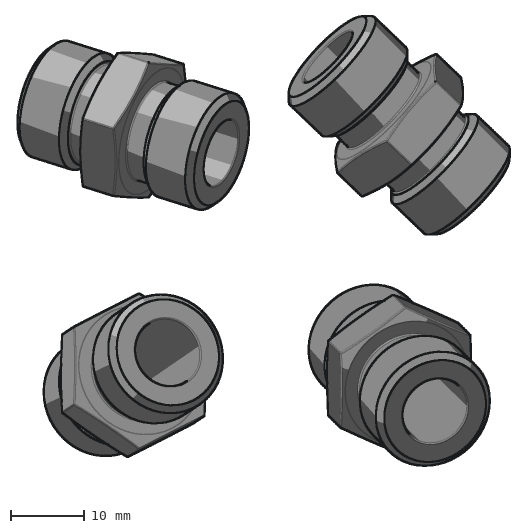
import cadquery as cq
import math

length = 28.0
bore_diameter = 9.4
edge_radius = 0.2

end_diameter = 16.65
end_length = 8.0
end_chamfer = 0.9
groove_diameter = 14.0

hex_sides = 6
hex_width = 6.0
hex_across_flats = 19.0
hex_face_diameter = 18.0
hex_chamfer_angle = 15.0

hex_corner_diameter = hex_across_flats / math.cos(math.radians(180 / hex_sides))
blank_margin = 0.28


def rod(diameter, rod_length):
    """Cylinder along X, centred on the origin."""
    return cq.Workplane("YZ").circle(diameter / 2).extrude(rod_length / 2, both=True)


def chamfered_blank():
    """Disc along X with a shallow cone on both faces, reaching past the hexagon corners."""
    half_width = hex_width / 2
    face_radius = hex_face_diameter / 2
    rim_radius = hex_corner_diameter / 2 + blank_margin
    drop = (rim_radius - face_radius) * math.tan(math.radians(hex_chamfer_angle))
    profile = [
        (-half_width, 0),
        (-half_width, face_radius),
        (-half_width + drop, rim_radius),
        (half_width - drop, rim_radius),
        (half_width, face_radius),
        (half_width, 0),
    ]
    return cq.Workplane("XY").polyline(profile).close().revolve(360, (0, 0), (1, 0))


def hexagon():
    """Hexagon with corners at +Z and -Z, coned faces and every edge rounded."""
    prism = (
        cq.Workplane("YZ")
        .polygon(hex_sides, hex_corner_diameter)
        .extrude(hex_width / 2, both=True)
        .rotate((0, 0, 0), (1, 0, 0), 90)
    )
    nut = prism.intersect(chamfered_blank())
    return nut.edges().fillet(edge_radius)


def threaded_end(side):
    """End cylinder chamfered on both rims; side is -1 or +1 along X."""
    centre = side * (length - end_length) / 2
    return rod(end_diameter, end_length).edges().chamfer(end_chamfer).translate((centre, 0, 0))


def edges_of_diameter(part, diameter):
    """Circular edges of the given diameter."""
    circles = part.edges("%CIRCLE").vals()
    return [edge for edge in circles if math.isclose(2 * edge.radius(), diameter, rel_tol=1e-6)]


body = hexagon().union(rod(groove_diameter, length - end_length))
for side in (-1, 1):
    body = body.union(threaded_end(side))

body = body.newObject(edges_of_diameter(body, groove_diameter)).fillet(edge_radius)

bored = body.cut(rod(bore_diameter, length))
result = bored.newObject(edges_of_diameter(bored, bore_diameter)).fillet(edge_radius)